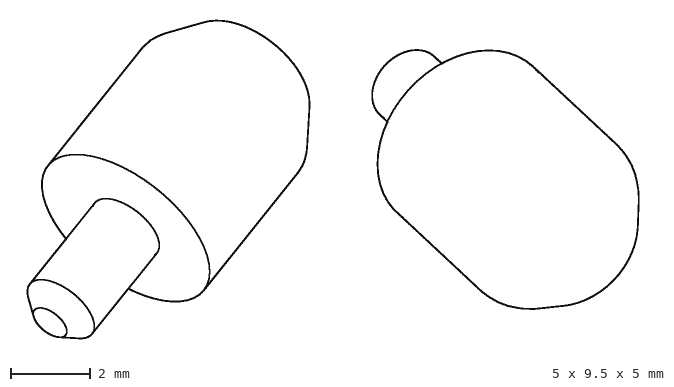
import cadquery as cq
import math


head_radius = 5.0 / 2
head_length = 6.0
taper_length = 1.5
taper_angle = 30.0
blend_radius = 0.6

taper_start = head_length - taper_length
nose_radius = head_radius - taper_length * math.tan(math.radians(taper_angle))

pin_radius = 2.0 / 2
pin_length = 3.5
pin_chamfer = 0.5


def make_head():
    """Cylinder with a conical nose whose two circular edges are rounded."""
    profile = (
        cq.Workplane("XY")
        .polyline([
            (0, 0),
            (head_radius, 0),
            (head_radius, taper_start),
            (nose_radius, head_length),
            (0, head_length),
        ])
        .close()
    )
    turned = profile.revolve(360, (0, 0, 0), (0, 1, 0))
    cone_edges = turned.faces("%CONE").edges("%CIRCLE")
    return cone_edges.fillet(blend_radius)


def make_pin():
    """Plain pin seated on the shoulder face, with a chamfered tip."""
    pin = cq.Workplane("XZ").circle(pin_radius).extrude(pin_length)
    return pin.faces("<Y").edges().chamfer(pin_chamfer)


head = make_head()
pin = make_pin()

result = cq.Compound.makeCompound([head.val(), pin.val()])